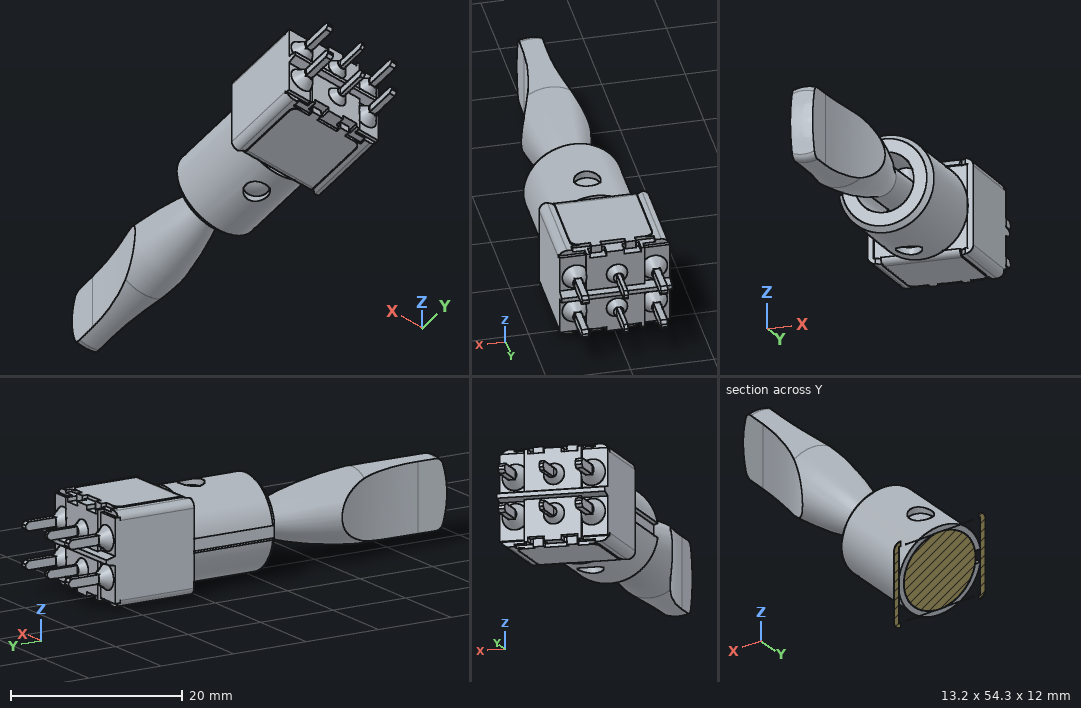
import cadquery as cq
import math

overall_length = 54.3
OVERLAP = 0.25

case_width = 13.25
case_height = 11.7
case_depth = 10.5
case_radius = 1.0
side_wall = 0.75
side_wall_depth = 10.9
front_recess = 0.4
lip_bevel_outer_x = 5.65
lip_bevel_depth = 0.6

cover_width = 9.9
cover_height = 11.95
cover_depth = 9.65
cover_front_radius = 0.8
cover_rear_radius = 0.9
cover_tab_width = 1.25
cover_tab_depth = 10.35
cover_tab_x = 2.05

inner_width = case_width - 2 * side_wall
inner_height = cover_height - 2 * cover_front_radius

base_depth = side_wall_depth
base_height = 10.4
base_tab_width = 7.0
base_tab_height = 11.1
base_tab_depth = 11.35
base_window_width = 2.0
base_window_front = 10.1
base_window_recess = 0.55
rib_depth = 12.1
rib_tip_half = 0.25
rib_root_half = 0.6

terminal_end = 16.4
terminal_pitch = 4.7
terminal_height = 1.15
terminal_chamfer = 0.4
outer_terminal_width = 0.8
middle_terminal_width = 0.5
middle_terminal_x = -0.15
seal_depth = 12.25
seal_root_radius = 1.6
seal_tip_radius = 0.6

barrel_radius = cover_height / 2
barrel_length = 11.95
barrel_chamfer = 0.65
bore_radius = 3.7
bore_depth = 10.85
keyway_width = 1.75
keyway_depth = 0.75

pivot_y = -3.75
pivot_radius = 1.6
pivot_edge_z = 5.05
pivot_crown_z = 5.45

lever_tip_y = terminal_end - overall_length
lever_tilt = 1.0
neck_radius = 2.15
neck_end_y = -13.4
swell_points = [(3.2, -16.85), (4.25, -22.25)]
grip_radius = 4.6
grip_start_y = -25.8
blade_half = 1.4
blade_start_y = -33.85
scoop_half = 4.25
scoop_start_y = -21.7
tip_rise = 0.85
dome_radius = (grip_radius**2 + tip_rise**2) / (2 * tip_rise)
tip_corner_radius = 1.05


def block(width, height, y_start, y_end, x=0.0, z=0.0):
    """Box centred on x and z that runs from y_start to y_end."""
    return cq.Workplane("XY").box(width, y_end - y_start, height).translate((x, (y_start + y_end) / 2, z))


def rod(radius, y_start, y_end):
    """Round rod on the Y axis that runs from y_start to y_end."""
    return cq.Workplane("XZ", origin=(0, y_end, 0)).circle(radius).extrude(y_end - y_start)


def make_cover():
    """Top and bottom cover plates as one block, with rear tabs and rounded front edges."""
    cover = block(cover_width, cover_height, 0, cover_depth)
    cover = cover.faces("<Y").edges("|X").fillet(cover_front_radius)
    cover = cover.faces(">Y").edges("|Z").fillet(cover_rear_radius)
    for x in (-cover_tab_x, cover_tab_x):
        cover = cover.union(block(cover_tab_width, cover_height, cover_depth - OVERLAP, cover_tab_depth, x))
    return cover


def make_base():
    """Rear base with its raised tabs and the rib between the two rows of terminals."""
    base = block(case_width, base_height, case_depth - OVERLAP, base_depth)
    base = base.union(block(base_tab_width, base_tab_height, case_depth - OVERLAP, base_tab_depth))
    rib = (
        cq.Workplane("YZ", origin=(-case_width / 2, 0, 0))
        .moveTo(base_depth - OVERLAP, -rib_root_half)
        .lineTo(base_depth, -rib_root_half)
        .lineTo(rib_depth, -rib_tip_half)
        .lineTo(rib_depth, rib_tip_half)
        .lineTo(base_depth, rib_root_half)
        .lineTo(base_depth - OVERLAP, rib_root_half)
        .close()
        .extrude(case_width)
    )
    return base.union(rib)


def make_shell():
    """Rounded shell with flat side walls, a recessed front and stepped upper and lower faces."""
    shell = block(case_width, case_height, 0, case_depth).edges("|Y").fillet(case_radius)
    wall_height = case_height - 2 * case_radius
    shell = shell.union(block(case_width, wall_height, 0, side_wall_depth))
    shell = shell.cut(block(inner_width, inner_height, -OVERLAP, front_recess))
    lip_height = (case_height - inner_height) / 2
    step_height = (case_height - base_tab_height) / 2
    for side in (-1, 1):
        bevel = (
            cq.Workplane("XY", origin=(0, 0, side * inner_height / 2))
            .moveTo(-lip_bevel_outer_x, 0)
            .lineTo(lip_bevel_outer_x, 0)
            .lineTo(cover_width / 2, lip_bevel_depth)
            .lineTo(-cover_width / 2, lip_bevel_depth)
            .close()
            .extrude(side * lip_height)
        )
        step_z = side * (case_height - step_height) / 2
        step = block(cover_width, step_height, cover_depth, case_depth, 0, step_z)
        shell = shell.cut(bevel).cut(step)
    return shell


def cut_windows(body):
    """Cut the windows around the cover tabs into the upper and lower faces."""
    window_z = (base_tab_height - base_window_recess) / 2
    for x in (-cover_tab_x, cover_tab_x):
        for side in (-1, 1):
            window = block(
                base_window_width, base_window_recess, base_window_front, base_tab_depth, x, side * window_z
            )
            body = body.cut(window)
    return body


def make_case():
    """Shell and rear base closed by the two covers."""
    cover = make_cover().cut(block(inner_width, inner_height, -OVERLAP, front_recess))
    return cut_windows(make_shell().union(make_base())).union(cover)


def make_terminal(x, z, width):
    """Flat terminal with a chamfered end and a cone of sealant round its root."""
    blade = block(width, terminal_height, base_depth - OVERLAP, terminal_end, x, z)
    blade = blade.faces(">Y").edges("|X").chamfer(terminal_chamfer)
    root = cq.Vector(x, base_depth, z)
    rearward = cq.Vector(0, 1, 0)
    seal = cq.Solid.makeCone(seal_root_radius, seal_tip_radius, seal_depth - base_depth, root, rearward)
    return blade.union(cq.Workplane(seal))


def make_barrel():
    """Chamfered barrel with a keyway along its -X side."""
    barrel = rod(barrel_radius, -barrel_length, 0).faces("<Y").chamfer(barrel_chamfer)
    keyway = block(2 * keyway_depth, keyway_width, -barrel_length, 0, -barrel_radius)
    return barrel.cut(keyway).union(rod(barrel_radius - keyway_depth, -OVERLAP, front_recess))


def make_housing():
    """Case, barrel and terminals as one body, bored for the lever and its pivot."""
    housing = make_case().union(make_barrel())
    columns = [
        (-terminal_pitch, outer_terminal_width),
        (middle_terminal_x, middle_terminal_width),
        (terminal_pitch, outer_terminal_width),
    ]
    for x, width in columns:
        for z in (-terminal_pitch / 2, terminal_pitch / 2):
            housing = housing.union(make_terminal(x, z, width))
    bore = rod(bore_radius, -barrel_length, bore_depth - barrel_length)
    pivot_hole = cq.Workplane("XY").center(0, pivot_y).circle(pivot_radius).extrude(barrel_radius, both=True)
    return housing.cut(bore).cut(pivot_hole)


def make_grip(tip_y):
    """Round neck and grip, with a flat inner end past the pivot and a domed, rounded tip."""
    grip = (
        cq.Workplane("XY")
        .moveTo(0, pivot_y + neck_radius)
        .lineTo(neck_radius, pivot_y + neck_radius)
        .lineTo(neck_radius, neck_end_y)
        .spline(swell_points + [(grip_radius, grip_start_y)], includeCurrent=True)
        .lineTo(grip_radius, tip_y + tip_rise)
        .radiusArc((0, tip_y), dome_radius)
        .close()
        .revolve(360, (0, 0, 0), (0, 1, 0))
    )
    return grip.faces("<Y").edges("%CIRCLE").fillet(tip_corner_radius)


def make_scoop(tip_y):
    """Tool for the +X side: a concave arc that runs out tangent into the flat of the blade."""
    run = scoop_start_y - blade_start_y
    rise = scoop_half - blade_half
    scoop_radius = (run**2 + rise**2) / (2 * rise)
    half_run = run / 2
    half_rise = scoop_radius - math.sqrt(scoop_radius**2 - half_run**2)
    outside = grip_radius + OVERLAP
    return (
        cq.Workplane("XY", origin=(0, 0, -outside))
        .moveTo(outside, scoop_start_y)
        .lineTo(scoop_half, scoop_start_y)
        .threePointArc((blade_half + half_rise, blade_start_y + half_run), (blade_half, blade_start_y))
        .lineTo(blade_half, tip_y - OVERLAP)
        .lineTo(outside, tip_y - OVERLAP)
        .close()
        .extrude(2 * outside)
    )


def make_pivot():
    """Cross pin with a domed crown at each end."""
    crown_rise = pivot_crown_z - pivot_edge_z
    crown_radius = (pivot_radius**2 + crown_rise**2) / (2 * crown_rise)
    return (
        cq.Workplane("XZ", origin=(0, pivot_y, 0))
        .moveTo(0, -pivot_crown_z)
        .radiusArc((pivot_radius, -pivot_edge_z), -crown_radius)
        .lineTo(pivot_radius, pivot_edge_z)
        .radiusArc((0, pivot_crown_z), -crown_radius)
        .close()
        .revolve(360, (0, 0, 0), (0, 1, 0))
    )


def make_lever():
    """Tilted lever, long enough for its domed tip to reach the full length of the switch."""
    dome_center_run = (pivot_y - lever_tip_y - dome_radius) / math.cos(math.radians(lever_tilt))
    tip_y = pivot_y - dome_center_run - dome_radius
    scoop = make_scoop(tip_y)
    lever = make_grip(tip_y).cut(scoop).cut(scoop.mirror("YZ"))
    lever = lever.union(make_pivot())
    return lever.rotate((0, pivot_y, 0), (0, pivot_y, 1), -lever_tilt)


housing = make_housing()
lever = make_lever()
result = cq.Compound.makeCompound([housing.val(), lever.val()])